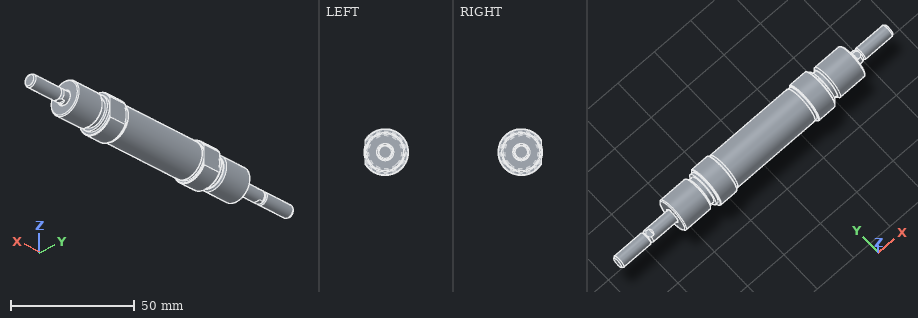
import cadquery as cq


ROD_LENGTH = 149.0
ROD_RADIUS = 3.0
TIP_CHAMFER_LENGTH = 0.8
TIP_CHAMFER_DEPTH = 0.5
GROOVE_START = 15.5
GROOVE_WIDTH = 1.5
GROOVE_ROOT = 0.5
ACROSS_FLATS = 5.0
FLAT_END = 18.5

LEFT_EXPOSED_ROD = 30.0
RIGHT_EXPOSED_ROD = 20.0
BARREL_LENGTH = 42.4
BARREL_RADIUS = 8.62

NOSE_RADIUS = 8.0
NOSE_LENGTH = 14.6
NOSE_FRONT_CHAMFER = 0.5
NOSE_BACK_CHAMFER = 0.8
NECK_RADIUS = 6.7
NECK_END = 16.75
COLLAR_START = 17.95
COLLAR_END = 27.1
COLLAR_RADIUS = 9.5
COLLAR_CHAMFER = 0.3
COLLAR_FLAT = 8.2
SPIGOT_RADIUS = 8.4
BORE_CHAMFER = 0.5

ROD_TIP = ROD_LENGTH / 2
LEFT_CAP_FACE = -ROD_TIP + LEFT_EXPOSED_ROD
RIGHT_CAP_FACE = ROD_TIP - RIGHT_EXPOSED_ROD
BARREL_START = (LEFT_CAP_FACE + RIGHT_CAP_FACE - BARREL_LENGTH) / 2
CAP_LENGTH = BARREL_START - LEFT_CAP_FACE


def revolve_about_x(outline):
    """Solid of revolution from (x, radius) points."""
    return cq.Workplane("XY").polyline(outline).close().revolve(360, (0, 0, 0), (1, 0, 0))


def make_rod():
    flat_height = ACROSS_FLATS / 2
    flat_depth = ROD_RADIUS - flat_height
    groove_start = -ROD_TIP + GROOVE_START
    groove_root = groove_start + GROOVE_ROOT
    left_outline = [
        (-ROD_TIP, 0),
        (-ROD_TIP, ROD_RADIUS - TIP_CHAMFER_DEPTH),
        (-ROD_TIP + TIP_CHAMFER_LENGTH, ROD_RADIUS),
        (groove_start, ROD_RADIUS),
        (groove_root, flat_height),
        (groove_start + GROOVE_WIDTH, ROD_RADIUS),
    ]
    right_outline = [(-x, radius) for x, radius in reversed(left_outline)]
    rod = revolve_about_x(left_outline + right_outline)

    flat_end = -ROD_TIP + FLAT_END
    flat_cutter = (
        cq.Workplane("XZ")
        .moveTo(groove_root, flat_height)
        .lineTo(flat_end, flat_height)
        .lineTo(flat_end + flat_depth, ROD_RADIUS)
        .lineTo(groove_root, ROD_RADIUS)
        .close()
        .extrude(ROD_RADIUS, both=True)
    )
    for end_cutter in (flat_cutter, flat_cutter.mirror("YZ")):
        rod = rod.cut(end_cutter).cut(end_cutter.mirror("XY"))
    return rod


def make_left_cap():
    """End cap with its outer face at X = 0 and its spigot toward +X."""
    cap = revolve_about_x([
        (BORE_CHAMFER, ROD_RADIUS),
        (0, ROD_RADIUS + BORE_CHAMFER),
        (0, NOSE_RADIUS - NOSE_FRONT_CHAMFER),
        (NOSE_FRONT_CHAMFER, NOSE_RADIUS),
        (NOSE_LENGTH - NOSE_BACK_CHAMFER, NOSE_RADIUS),
        (NOSE_LENGTH, NOSE_RADIUS - NOSE_BACK_CHAMFER),
        (NOSE_LENGTH, NECK_RADIUS),
        (NECK_END, NECK_RADIUS),
        (NECK_END, NOSE_RADIUS),
        (COLLAR_START, NOSE_RADIUS),
        (COLLAR_START, COLLAR_RADIUS - COLLAR_CHAMFER),
        (COLLAR_START + COLLAR_CHAMFER, COLLAR_RADIUS),
        (COLLAR_END - COLLAR_CHAMFER, COLLAR_RADIUS),
        (COLLAR_END, COLLAR_RADIUS - COLLAR_CHAMFER),
        (COLLAR_END, SPIGOT_RADIUS),
        (CAP_LENGTH, SPIGOT_RADIUS),
        (CAP_LENGTH, ROD_RADIUS),
    ])
    collar_length = COLLAR_END - COLLAR_START
    beyond_flat = (
        cq.Workplane("XY")
        .box(collar_length, COLLAR_RADIUS, 2 * COLLAR_RADIUS, centered=(False, False, True))
        .translate((COLLAR_START, COLLAR_FLAT, 0))
    )
    return cap.cut(beyond_flat)


def make_barrel():
    barrel = cq.Workplane("YZ", origin=(BARREL_START, 0, 0))
    return barrel.circle(BARREL_RADIUS).circle(ROD_RADIUS).extrude(BARREL_LENGTH)


rod = make_rod()
cap = make_left_cap()
left_cap = cap.translate((LEFT_CAP_FACE, 0, 0))
right_cap = cap.mirror("YZ").translate((RIGHT_CAP_FACE, 0, 0))
barrel = make_barrel()

result = cq.Compound.makeCompound([rod.val(), left_cap.val(), right_cap.val(), barrel.val()])